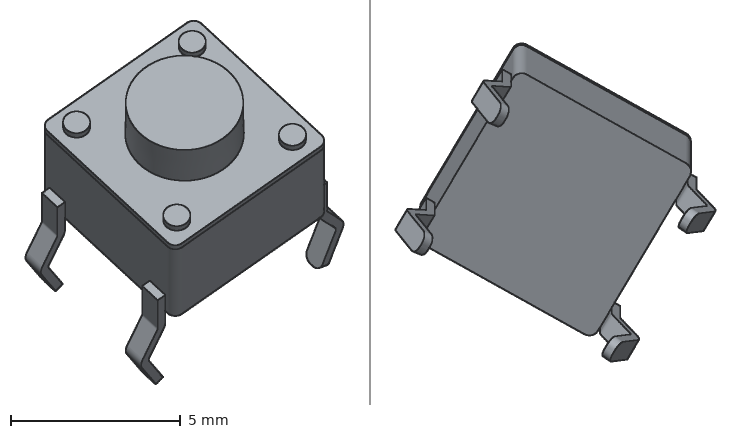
import cadquery as cq
import math

case_side = 6.0
case_height = 3.5
lid_thickness = 0.2
base_height = case_height - lid_thickness
corner_radius = 0.3

button_diameter = 3.5
button_height = 1.5
button_draft = 0.8

rivet_diameter = 0.8
rivet_height = 0.22
column_offset = 2.25

leg_width = 0.7
leg_thickness = 0.3
leg_top = 0.8
knee_z = -0.63
elbow_y = 3.995
elbow_z = -1.8
tip_y = 3.27
tip_z = -3.5
inner_bend_radius = 0.15
outer_bend_radius = inner_bend_radius + leg_thickness
tip_radius = 0.3


def rounded_square(height):
    block = cq.Workplane("XY").rect(case_side, case_side).extrude(height)
    return block.edges("|Z").fillet(corner_radius)


def make_base():
    return rounded_square(base_height)


def make_lid():
    """Lid with the button and the four rivet heads in one piece."""
    lid = rounded_square(lid_thickness).translate((0, 0, base_height))
    top = cq.Workplane("XY", origin=(0, 0, case_height))
    button = top.circle(button_diameter / 2).extrude(button_height, taper=button_draft)
    rivets = (
        top.rect(2 * column_offset, 2 * column_offset, forConstruction=True)
        .vertices()
        .circle(rivet_diameter / 2)
        .extrude(rivet_height)
    )
    return lid.union(button).union(rivets)


def make_leg():
    """Leg on the +Y side, centred on X = 0."""
    wall_y = case_side / 2
    outer_y = wall_y + leg_thickness

    upper_lean = math.atan2(elbow_y - outer_y, knee_z - elbow_z)
    lower_lean = math.atan2(elbow_y - tip_y, elbow_z - tip_z)

    knee_inner = (wall_y, knee_z - leg_thickness * math.tan(upper_lean / 2))
    mitre = leg_thickness / (1 + math.cos(upper_lean + lower_lean))
    elbow_inner = (
        elbow_y - mitre * (math.cos(upper_lean) + math.cos(lower_lean)),
        elbow_z - mitre * (math.sin(upper_lean) - math.sin(lower_lean)),
    )
    tip_inner = (
        tip_y - leg_thickness * math.cos(lower_lean),
        tip_z + leg_thickness * math.sin(lower_lean),
    )
    knee_outer = (outer_y, knee_z)
    elbow_outer = (elbow_y, elbow_z)
    tip_outer = (tip_y, tip_z)

    outline = [
        (wall_y, leg_top),
        (outer_y, leg_top),
        knee_outer,
        elbow_outer,
        tip_outer,
        tip_inner,
        elbow_inner,
        knee_inner,
    ]
    leg = cq.Workplane("YZ").polyline(outline).close().extrude(leg_width / 2, both=True)

    bends = [
        (knee_outer, inner_bend_radius),
        (knee_inner, outer_bend_radius),
        (elbow_outer, outer_bend_radius),
        (elbow_inner, inner_bend_radius),
    ]
    for (y, z), radius in bends:
        leg = leg.edges("|X").edges(cq.NearestToPointSelector((0, y, z))).fillet(radius)

    end_y = (tip_outer[0] + tip_inner[0]) / 2
    end_z = (tip_outer[1] + tip_inner[1]) / 2
    for x in (-leg_width / 2, leg_width / 2):
        corner = cq.NearestToPointSelector((x, end_y, end_z))
        leg = leg.edges(corner).fillet(tip_radius)
    return leg


def make_legs():
    leg = make_leg()
    legs = []
    for turn in (0, 180):
        for x in (-column_offset, column_offset):
            placed = leg.translate((x, 0, 0)).rotate((0, 0, 0), (0, 0, 1), turn)
            legs.append(placed.val())
    return legs


base = make_base()
lid = make_lid()
legs = make_legs()

result = cq.Compound.makeCompound([base.val(), lid.val(), *legs])